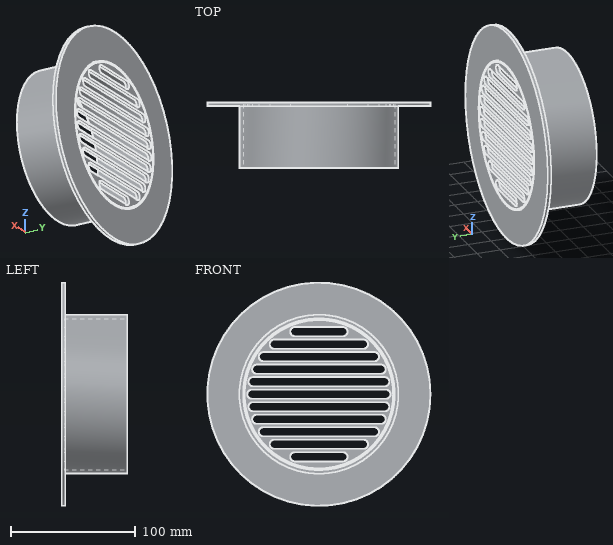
import cadquery as cq
import math

flange_diameter = 180.0
flange_thickness = 3.0
total_depth = 53.0
sleeve_outer_diameter = 128.2
sleeve_inner_diameter = 122.0

grille_diameter = 119.9
grille_thickness = flange_thickness

slot_count = 11
slot_width = 7.2
slot_pitch = 10.0
slot_end_circle_radius = 54.0


def cylinder(diameter, depth):
    """Cylinder running from Y = 0 toward -Y."""
    return cq.Workplane("XZ").circle(diameter / 2).extrude(depth)


def make_sleeve():
    """Round flange with a tube toward -Y and a bore right through."""
    flange = cylinder(flange_diameter, flange_thickness)
    tube = cylinder(sleeve_outer_diameter, total_depth)
    bore = cylinder(sleeve_inner_diameter, total_depth)
    return flange.union(tube).cut(bore)


def make_slot(height):
    """Cutter for the slot centred at this Z, ending on the slot end circle."""
    half_span = math.sqrt(slot_end_circle_radius**2 - height**2)
    slot_length = 2 * half_span + slot_width
    return (
        cq.Workplane("XZ")
        .center(0, height)
        .slot2D(slot_length, slot_width)
        .extrude(grille_thickness)
    )


def make_grille():
    """Flat disc with a symmetric stack of through slots."""
    grille = cylinder(grille_diameter, grille_thickness)
    for index in range(slot_count):
        height = (index - (slot_count - 1) / 2) * slot_pitch
        grille = grille.cut(make_slot(height))
    return grille


sleeve = make_sleeve()
grille = make_grille()

result = cq.Compound.makeCompound([sleeve.val(), grille.val()])